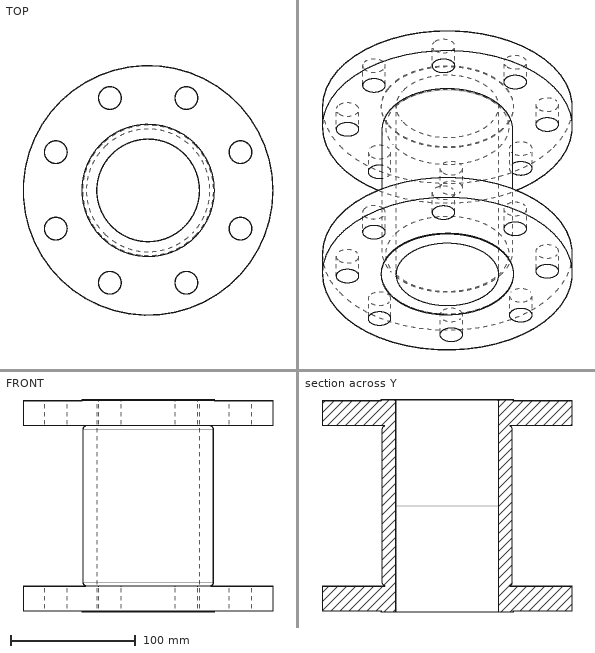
import cadquery as cq

total_length = 170.0
bore_diameter = 82.0

flange_diameter = 200.0
flange_thickness = 20.0
raised_face_diameter = 106.0
raised_face_height = 0.8

pipe_diameter = 104.5
pipe_end_radius = 3.0

bolt_count = 8
bolt_hole_diameter = 18.0
bolt_circle_diameter = 160.0
first_bolt_angle = 360 / bolt_count / 2

inner_face_height = total_length / 2 - raised_face_height - flange_thickness


def pipe():
    """Solid pipe core between the flanges, with both end edges rounded."""
    cylinder = cq.Workplane("XY").circle(pipe_diameter / 2).extrude(inner_face_height, both=True)
    return cylinder.edges("%CIRCLE").fillet(pipe_end_radius)


def upper_flange():
    """Solid flange disc with its raised sealing face and bolt holes."""
    disc = (
        cq.Workplane("XY")
        .workplane(offset=inner_face_height)
        .circle(flange_diameter / 2)
        .extrude(flange_thickness)
    )
    drilled_disc = (
        disc.faces(">Z")
        .workplane()
        .polarArray(bolt_circle_diameter / 2, first_bolt_angle, 360, bolt_count)
        .hole(bolt_hole_diameter)
    )
    return (
        drilled_disc.faces(">Z")
        .workplane()
        .circle(raised_face_diameter / 2)
        .extrude(raised_face_height)
    )


flange = upper_flange()
body = pipe().union(flange).union(flange.mirror("XY"))
bore = cq.Workplane("XY").circle(bore_diameter / 2).extrude(total_length / 2, both=True)
result = body.cut(bore)